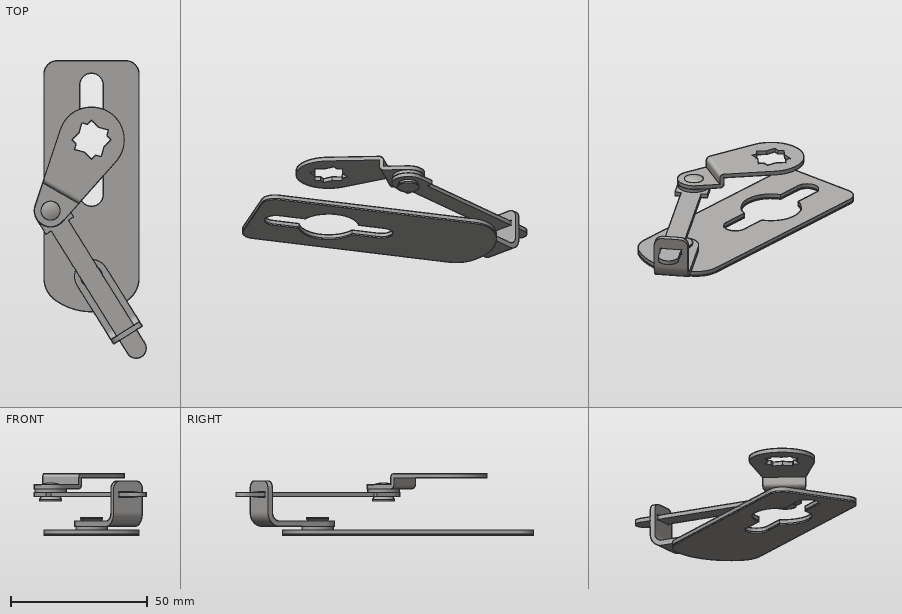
import cadquery as cq
import math

lever_pivot_distance = 30.0
lever_angle = 240.0
lower_pivot_y = -50.0
shank_radius = 3.5

liner_thickness = 0.5
plate_thickness = 1.4
washer_thickness = 1.3
hook_thickness = 2.0
sheet_thickness = 1.5
arm_bottom_z = 14.2
hook_top_z = 19.9
total_height = 22.6

plate_half_width = 17.4
plate_top_y = 29.0
plate_bottom_y = -63.0
plate_top_corner_radius = 5.0
plate_bottom_corner_radius = 10.0
plate_end_radius = 22.8
slot_width = 8.5
slot_length = 48.6
keyhole_radius = 11.0

washer_radius = 5.8
head_radius = 4.0
head_rim_height = 0.5
lower_neck_height = 0.7
upper_neck_height = 1.1
dome_height = 0.7

hook_half_width = 6.2
hook_reach = 25.3
hook_bend_radius = 5.0
hook_corner_radius = 2.9
hook_slot_width = 8.0
hook_slot_clearance = 0.2

arm_half_width = 3.7
arm_tip_centre = 59.3
arm_head_radius = 6.0
arm_shoulder = 6.4

lever_head_radius = 12.0
lever_tail_radius = 6.0
lever_wall = 22.6
star_square = 10.0
star_turn = 15.0

plate_top_z = liner_thickness + plate_thickness
hook_bottom_z = plate_top_z + washer_thickness
hook_floor_z = hook_bottom_z + hook_thickness
arm_top_z = arm_bottom_z + sheet_thickness
lever_bottom_z = arm_top_z + washer_thickness
lever_tail_top_z = lever_bottom_z + sheet_thickness
upper_pivot = (
    lever_pivot_distance * math.cos(math.radians(lever_angle)),
    lever_pivot_distance * math.sin(math.radians(lever_angle)),
)
lower_pivot = (0, lower_pivot_y)
link_angle = math.degrees(
    math.atan2(lower_pivot[1] - upper_pivot[1], lower_pivot[0] - upper_pivot[0])
)


def turned_to(body, angle, place=(0, 0)):
    """Turn a body built along +X about the Z axis, then move it to its pivot."""
    return body.rotate((0, 0, 0), (0, 0, 1), angle).translate((place[0], place[1], 0))


def shank_cutter(place, bottom_z, height):
    """Cylinder that cuts the hole for a rivet shank."""
    return cq.Workplane("XY", origin=(place[0], place[1], bottom_z)).circle(shank_radius).extrude(height)


def base_sheet(bottom_z, thickness):
    """Sheet with rounded upper corners, a bowed lower end and the keyhole slot."""
    corner_x = plate_half_width - plate_bottom_corner_radius
    end_centre_y = plate_bottom_y + plate_end_radius
    turn = math.asin(corner_x / (plate_end_radius - plate_bottom_corner_radius))
    corner_y = end_centre_y - corner_x / math.tan(turn)
    join_x = plate_end_radius * math.sin(turn)
    join_y = end_centre_y - plate_end_radius * math.cos(turn)
    middle = (turn + math.pi / 2) / 2
    mid_x = corner_x + plate_bottom_corner_radius * math.sin(middle)
    mid_y = corner_y - plate_bottom_corner_radius * math.cos(middle)
    sheet = (
        cq.Workplane("XY", origin=(0, 0, bottom_z))
        .moveTo(-plate_half_width, plate_top_y)
        .lineTo(-plate_half_width, corner_y)
        .threePointArc((-mid_x, mid_y), (-join_x, join_y))
        .threePointArc((0, plate_bottom_y), (join_x, join_y))
        .threePointArc((mid_x, mid_y), (plate_half_width, corner_y))
        .lineTo(plate_half_width, plate_top_y)
        .close()
        .extrude(thickness)
        .edges("|Z and >Y")
        .fillet(plate_top_corner_radius)
    )
    floor = cq.Workplane("XY", origin=(0, 0, bottom_z))
    slot = floor.slot2D(slot_length, slot_width, 90).extrude(thickness)
    keyhole = floor.circle(keyhole_radius).extrude(thickness)
    return sheet.cut(slot).cut(keyhole)


def make_liner():
    """Thin sheet under the plate, closing the rivet hole from below."""
    return base_sheet(0, liner_thickness)


def make_plate():
    """Base plate with the lower pivot hole."""
    plate = base_sheet(liner_thickness, plate_thickness)
    return plate.cut(shank_cutter(lower_pivot, liner_thickness, plate_thickness))


def make_washer(place, bottom_z):
    """Spacer ring around a rivet shank."""
    return (
        cq.Workplane("XY", origin=(place[0], place[1], bottom_z))
        .circle(washer_radius)
        .circle(shank_radius)
        .extrude(washer_thickness)
    )


def make_rivet(grip, neck_height, end_dome_height):
    """Rivet standing on its rim at z = 0: flat rim, tapered neck, straight shank, optional domed end."""
    neck_top = head_rim_height + neck_height
    shank_top = neck_top + grip
    outline = (
        cq.Workplane("XZ")
        .lineTo(head_radius, 0)
        .lineTo(head_radius, head_rim_height)
        .lineTo(shank_radius, neck_top)
        .lineTo(shank_radius, shank_top)
    )
    if end_dome_height > 0:
        dome_radius = (shank_radius**2 + end_dome_height**2) / (2 * end_dome_height)
        half_angle = math.asin(shank_radius / dome_radius) / 2
        dome_centre = shank_top + end_dome_height - dome_radius
        dome_middle = (
            dome_radius * math.sin(half_angle),
            dome_centre + dome_radius * math.cos(half_angle),
        )
        outline = outline.threePointArc(dome_middle, (0, shank_top + end_dome_height))
    else:
        outline = outline.lineTo(0, shank_top)
    return outline.close().revolve(360, (0, 0, 0), (0, 1, 0))


def make_lower_rivet():
    """Head above the hook, shank down through hook, washer and plate."""
    rivet = make_rivet(hook_floor_z - liner_thickness, lower_neck_height, 0)
    head_top_z = hook_floor_z + lower_neck_height + head_rim_height
    return rivet.rotate((0, 0, 0), (1, 0, 0), 180).translate((*lower_pivot, head_top_z))


def make_upper_rivet():
    """Head below the arm, shank up through arm, washer and lever, domed above the lever."""
    rivet = make_rivet(lever_tail_top_z - arm_bottom_z, upper_neck_height, dome_height)
    head_bottom_z = arm_bottom_z - upper_neck_height - head_rim_height
    return rivet.translate((*upper_pivot, head_bottom_z))


def make_hook():
    """L-shaped strip with a round pivot end and an upright wall slotted for the arm."""
    wall_inside = hook_reach - hook_thickness
    inside_bend_radius = hook_bend_radius - hook_thickness
    bend_x = hook_reach - hook_bend_radius
    bend_z = hook_bottom_z + hook_bend_radius
    strip = (
        cq.Workplane("XZ")
        .moveTo(0, hook_bottom_z)
        .lineTo(bend_x, hook_bottom_z)
        .radiusArc((hook_reach, bend_z), -hook_bend_radius)
        .lineTo(hook_reach, hook_top_z)
        .lineTo(wall_inside, hook_top_z)
        .lineTo(wall_inside, bend_z)
        .radiusArc((bend_x, hook_floor_z), inside_bend_radius)
        .lineTo(0, hook_floor_z)
        .close()
        .extrude(hook_half_width, both=True)
        .edges("|X and >Z")
        .fillet(hook_corner_radius)
    )
    pivot_floor = cq.Workplane("XY", origin=(0, 0, hook_bottom_z))
    round_end = pivot_floor.circle(hook_half_width).extrude(hook_thickness)
    slot_height = sheet_thickness + 2 * hook_slot_clearance
    slot_centre = (wall_inside + hook_thickness / 2, 0, arm_bottom_z + sheet_thickness / 2)
    slot = cq.Workplane("XY", origin=slot_centre).box(hook_thickness, hook_slot_width, slot_height)
    hook = strip.union(round_end).cut(slot).cut(shank_cutter((0, 0), hook_bottom_z, hook_thickness))
    return turned_to(hook, link_angle, lower_pivot)


def make_arm():
    """Flat arm with a wide round head, square shoulders and a round tip."""
    arm = (
        cq.Workplane("XY", origin=(0, 0, arm_bottom_z))
        .moveTo(0, arm_head_radius)
        .threePointArc((-arm_head_radius, 0), (0, -arm_head_radius))
        .lineTo(arm_shoulder, -arm_head_radius)
        .lineTo(arm_shoulder, -arm_half_width)
        .lineTo(arm_tip_centre, -arm_half_width)
        .threePointArc((arm_tip_centre + arm_half_width, 0), (arm_tip_centre, arm_half_width))
        .lineTo(arm_shoulder, arm_half_width)
        .lineTo(arm_shoulder, arm_head_radius)
        .close()
        .extrude(sheet_thickness)
    )
    arm = arm.cut(shank_cutter((0, 0), arm_bottom_z, sheet_thickness))
    return turned_to(arm, link_angle, upper_pivot)


def make_lever():
    """Stepped lever: its plan tapers between two round ends, its raised head carries the star hole."""
    lean = math.asin((lever_head_radius - lever_tail_radius) / lever_pivot_distance)
    head_x = lever_head_radius * math.sin(lean)
    head_y = lever_head_radius * math.cos(lean)
    tail_x = lever_pivot_distance + lever_tail_radius * math.sin(lean)
    tail_y = lever_tail_radius * math.cos(lean)
    tail_end = lever_pivot_distance + lever_tail_radius
    plan = (
        cq.Workplane("XY", origin=(0, 0, lever_bottom_z))
        .moveTo(head_x, head_y)
        .threePointArc((-lever_head_radius, 0), (head_x, -head_y))
        .lineTo(tail_x, -tail_y)
        .threePointArc((tail_end, 0), (tail_x, tail_y))
        .close()
        .extrude(total_height - lever_bottom_z)
    )
    wall_inside = lever_wall - sheet_thickness
    head_bottom_z = total_height - sheet_thickness
    step = (
        cq.Workplane("XZ")
        .moveTo(-lever_head_radius, total_height)
        .lineTo(wall_inside, total_height)
        .radiusArc((lever_wall, head_bottom_z), sheet_thickness)
        .lineTo(lever_wall, lever_tail_top_z)
        .lineTo(tail_end, lever_tail_top_z)
        .lineTo(tail_end, lever_bottom_z)
        .lineTo(lever_wall, lever_bottom_z)
        .radiusArc((wall_inside, lever_tail_top_z), sheet_thickness)
        .lineTo(wall_inside, head_bottom_z)
        .lineTo(-lever_head_radius, head_bottom_z)
        .close()
        .extrude(lever_head_radius, both=True)
    )
    lever = plan.intersect(step)
    head_floor = cq.Workplane("XY", origin=(0, 0, head_bottom_z))
    for turn in (-star_turn, star_turn):
        square = head_floor.rect(star_square, star_square).extrude(sheet_thickness)
        lever = lever.cut(turned_to(square, turn))
    lever = lever.cut(shank_cutter((lever_pivot_distance, 0), lever_bottom_z, sheet_thickness))
    return turned_to(lever, lever_angle)


liner = make_liner()
plate = make_plate()
hook = make_hook()
arm = make_arm()
lever = make_lever()
lower_rivet = make_lower_rivet()
upper_rivet = make_upper_rivet()
washers = [
    make_washer(place, bottom_z)
    for place, bottom_z in ((lower_pivot, plate_top_z), (upper_pivot, arm_top_z))
]

result = cq.Compound.makeCompound(
    [
        liner.val(),
        plate.val(),
        hook.val(),
        arm.val(),
        lever.val(),
        lower_rivet.val(),
        upper_rivet.val(),
        *[washer.val() for washer in washers],
    ]
)